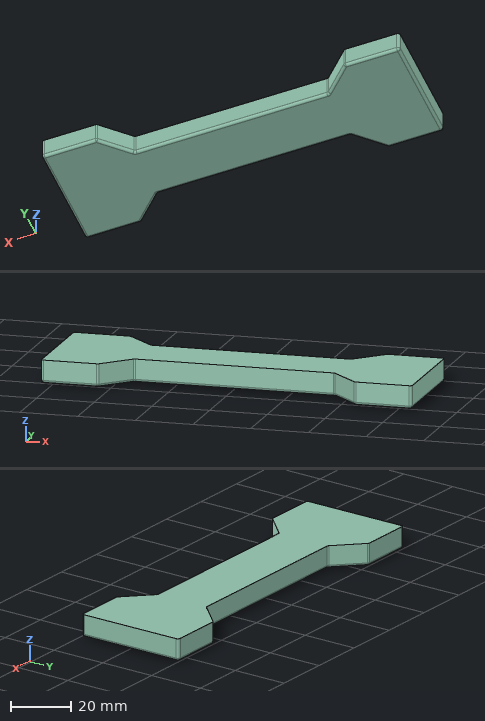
import cadquery as cq

length = 128.7
width = 39.6
thickness = 8.0

neck_width = 20.0
head_length = 19.8
flare = (width - neck_width) / 2

edge_radius = 1.0

half_length = length / 2
half_width = width / 2
half_neck = neck_width / 2
head_inner = half_length - head_length
neck_end = head_inner - flare

quarter = [
    (0, half_neck),
    (neck_end, half_neck),
    (head_inner, half_width),
    (half_length, half_width),
    (half_length, 0),
]

plate = (
    cq.Workplane("XY")
    .polyline(quarter)
    .mirrorX()
    .mirrorY()
    .extrude(thickness)
)

result = plate.edges("|Z or <Z").fillet(edge_radius)